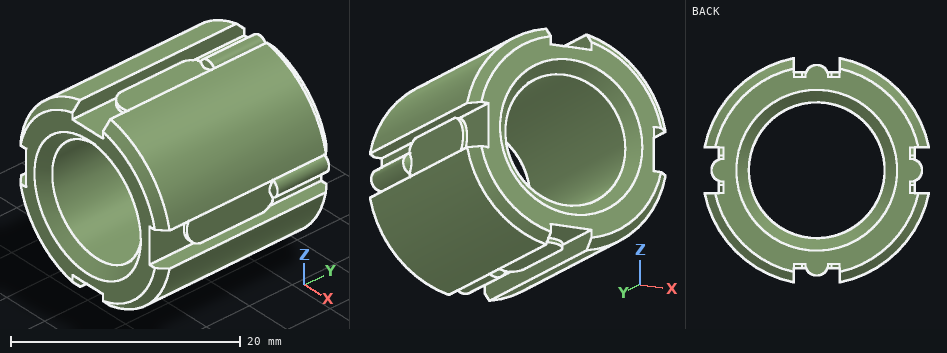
import cadquery as cq

length = 20.0
outer_radius = 10.0
bore_diameter = 11.85
outer_chamfer = 0.9
bore_chamfer = 1.1

slot_count = 4
slot_width = 4.0
slot_floor = 8.15
pad_top = 8.55
pad_end_radius = 2.08
pad_start = 6.0
pad_end = 16.0
pad_hidden_length = 0.45
pin_radius = 1.0
pin_top = 9.2
pin_length = 6.0
pin_tip_length = 0.6

back = length / 2
pin_axis_height = pin_top - pin_radius


def make_sleeve():
    body = cq.Workplane("XZ").circle(outer_radius).extrude(length / 2, both=True)
    body = body.faces("<Y or >Y").chamfer(outer_chamfer)
    body = body.cut(cq.Workplane("XZ").circle(bore_diameter / 2).extrude(length / 2, both=True))
    return body.faces("<Y or >Y").edges("%CIRCLE").edges(
        cq.selectors.RadiusNthSelector(0)).chamfer(bore_chamfer)


def make_slot():
    depth = outer_radius - slot_floor
    return cq.Workplane("XY").workplane(offset=slot_floor).rect(slot_width, length).extrude(depth)


def make_pad():
    """Obround pad, trimmed by the slot walls and squared off at the pin end."""
    height = pad_top - slot_floor
    pad_length = pad_end - pad_start
    middle = back - (pad_start + pad_end) / 2
    floor = cq.Workplane("XY").workplane(offset=slot_floor)
    obround = (
        floor.center(0, middle + pad_hidden_length / 2)
        .slot2D(pad_length + pad_hidden_length, 2 * pad_end_radius, 90)
        .extrude(height)
    )
    window = floor.center(0, middle).rect(slot_width, pad_length).extrude(height)
    return obround.intersect(window)


def make_pin():
    """Half-embedded pin with a shallow conical tip, flush with the back face."""
    tip = back - pin_length
    profile = (
        cq.Workplane("XY", origin=(0, 0, pin_axis_height))
        .moveTo(0, back)
        .lineTo(pin_radius, back)
        .lineTo(pin_radius, tip)
        .lineTo(0, tip - pin_tip_length)
        .close()
    )
    return profile.revolve(360, (0, 0, 0), (0, 1, 0))


result = make_sleeve()
for index in range(slot_count):
    angle = index * 360 / slot_count
    turn = ((0, 0, 0), (0, 1, 0), angle)
    result = result.cut(make_slot().rotate(*turn))
    result = result.union(make_pad().rotate(*turn))
    result = result.union(make_pin().rotate(*turn))